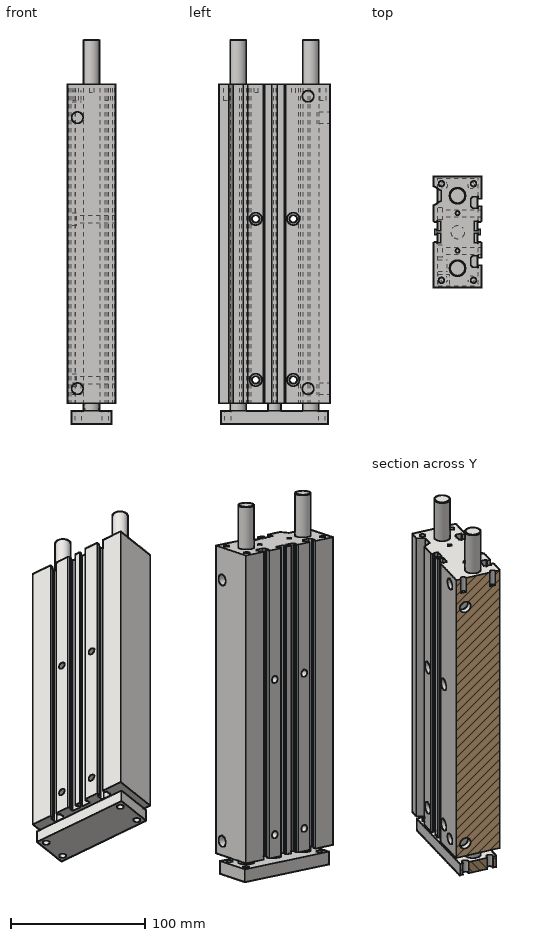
import cadquery as cq
import math

plate_thickness = 10.0
plate_gap = 5.5
housing_height = 238.0
rod_overhang = 33.0
housing_bottom = plate_thickness + plate_gap
housing_top = housing_bottom + housing_height
guide_rod_top = housing_top + rod_overhang

housing_width = 36.0
housing_depth = 83.0
half_width = housing_width / 2
half_depth = housing_depth / 2

plate_width = 30.0
plate_depth = 80.0
guide_rod_diameter = 12.0
guide_rod_spacing = 54.0
guide_rod_y = guide_rod_spacing / 2
guide_rod_chamfer = 0.5
piston_rod_diameter = 10.0
plate_hole_diameter = 5.0
plate_hole_x = 10.0
plate_hole_y = 35.0

sensor_rib_half = 2.2
sensor_rib_setback = 0.9
sensor_slot_near = 1.1
sensor_slot_far = 8.1
sensor_mouth_far = 7.3
sensor_mouth_chamfer = 0.9
sensor_lip = 2.7
sensor_slot_depth = 5.5

t_slot_y = 22.0
t_slot_neck = 5.4
t_slot_width = 8.6
t_slot_lip = 2.7
t_slot_depth = 8.1
t_slot_chamfer = 1.4

groove_depth = 6.0
groove_floor = 7.5
groove_flank_angle = 30.0

corner_hole_diameter = 4.2
corner_hole_depth = 12.0
corner_hole_x = 12.0
corner_hole_y = 36.0
top_pin_hole_y = 14.0
top_pin_hole_diameter = 3.0
top_pin_hole_depth = 6.0
mount_hole_y = 14.0
mount_hole_diameter = 5.4
mount_bore_diameter = 9.2
mount_bore_depth = 6.5
mount_hole_lower = 17.5
mount_hole_pitch = 120.0
port_diameter = 8.5
port_depth = 10.0
port_lower = 11.0
side_port_y = -25.0
side_port_upper = 9.1
end_port_x = -10.5
end_port_upper = 25.0


def full_height_cut(points):
    """Prism over the whole housing height from an outline in XY."""
    return cq.Workplane("XY", origin=(0, 0, housing_bottom)).polyline(points).close().extrude(housing_height)


def sensor_slots():
    """Twin undercut slots with a set-back rib between them, for the +X face."""
    face = half_width
    rib_face = face - sensor_rib_setback
    lip = face - sensor_lip
    floor = face - sensor_slot_depth
    mouth = full_height_cut([
        (face, -sensor_mouth_far - sensor_mouth_chamfer),
        (face, sensor_mouth_far + sensor_mouth_chamfer),
        (rib_face, sensor_mouth_far),
        (rib_face, -sensor_mouth_far),
    ])
    slot = full_height_cut([
        (rib_face, sensor_rib_half),
        (lip, sensor_rib_half),
        (lip, sensor_slot_near),
        (floor, sensor_slot_near),
        (floor, sensor_slot_far),
        (lip, sensor_slot_far),
        (lip, sensor_mouth_far),
        (rib_face, sensor_mouth_far),
    ])
    return mouth.union(slot).union(slot.mirror("XZ"))


def t_slot(y):
    """T-slot in the +X face with chamfered floor corners."""
    face = half_width
    lip = face - t_slot_lip
    floor = face - t_slot_depth
    neck_half = t_slot_neck / 2
    slot_half = t_slot_width / 2
    upper_half = [
        (face, neck_half),
        (lip, neck_half),
        (lip, slot_half),
        (floor + t_slot_chamfer, slot_half),
        (floor, slot_half - t_slot_chamfer),
    ]
    lower_half = [(px, -py) for px, py in reversed(upper_half)]
    return full_height_cut([(px, y + py) for px, py in upper_half + lower_half])


def trapezoid_groove():
    """Groove with sloping flanks in the -X face."""
    floor_half = groove_floor / 2
    mouth_half = floor_half + groove_depth * math.tan(math.radians(groove_flank_angle))
    floor = -half_width + groove_depth
    return full_height_cut([
        (-half_width, guide_rod_y - mouth_half),
        (floor, guide_rod_y - floor_half),
        (floor, guide_rod_y + floor_half),
        (-half_width, guide_rod_y + mouth_half),
    ])


def hole(start, direction, diameter, depth):
    """Cylinder running from a point on a face into the housing."""
    return cq.Workplane(cq.Solid.makeCylinder(diameter / 2, depth, cq.Vector(*start), cq.Vector(*direction)))


def make_housing():
    body = (
        cq.Workplane("XY", origin=(0, 0, housing_bottom))
        .rect(housing_width, housing_depth)
        .extrude(housing_height)
    )

    body = body.cut(sensor_slots()).cut(sensor_slots().mirror("YZ"))
    body = body.cut(trapezoid_groove())
    for y in (-t_slot_y, t_slot_y):
        body = body.cut(t_slot(y))

    for y in (-guide_rod_y, guide_rod_y):
        body = body.cut(hole((0, y, housing_bottom), (0, 0, 1), guide_rod_diameter, housing_height))

    down = (0, 0, -1)
    for y in (-corner_hole_y, corner_hole_y):
        for x in (-corner_hole_x, corner_hole_x):
            body = body.cut(hole((x, y, housing_top), down, corner_hole_diameter, corner_hole_depth))
    for y in (-top_pin_hole_y, top_pin_hole_y):
        body = body.cut(hole((0, y, housing_top), down, top_pin_hole_diameter, top_pin_hole_depth))

    inward_x = (1, 0, 0)
    lower_z = housing_bottom + mount_hole_lower
    for z in (lower_z, lower_z + mount_hole_pitch):
        for y in (-mount_hole_y, mount_hole_y):
            start = (-half_width, y, z)
            body = body.cut(hole(start, inward_x, mount_hole_diameter, housing_width))
            body = body.cut(hole(start, inward_x, mount_bore_diameter, mount_bore_depth))

    for z in (housing_bottom + port_lower, housing_top - side_port_upper):
        body = body.cut(hole((-half_width, side_port_y, z), inward_x, port_diameter, port_depth))
    for z in (housing_bottom + port_lower, housing_top - end_port_upper):
        body = body.cut(hole((end_port_x, -half_depth, z), (0, 1, 0), port_diameter, port_depth))
    return body


def make_slide():
    """Tool plate with two guide rods and the piston rod."""
    body = (
        cq.Workplane("XY")
        .rect(plate_width, plate_depth)
        .extrude(plate_thickness)
        .faces(">Z")
        .workplane()
        .rect(2 * plate_hole_x, 2 * plate_hole_y, forConstruction=True)
        .vertices()
        .hole(plate_hole_diameter)
    )
    plate_top = cq.Workplane("XY", origin=(0, 0, plate_thickness))
    guide_rods = (
        plate_top.pushPoints([(0, -guide_rod_y), (0, guide_rod_y)])
        .circle(guide_rod_diameter / 2)
        .extrude(guide_rod_top - plate_thickness)
        .faces(">Z")
        .chamfer(guide_rod_chamfer)
    )
    piston_rod = plate_top.circle(piston_rod_diameter / 2).extrude(plate_gap)
    return body.union(guide_rods).union(piston_rod)


housing = make_housing()
slide = make_slide()
result = cq.Compound.makeCompound([housing.val(), slide.val()])